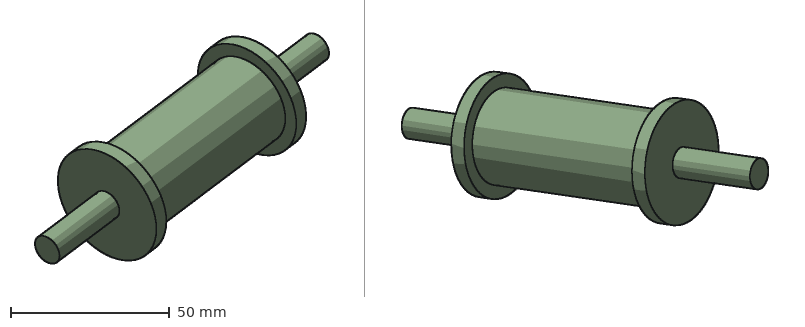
import cadquery as cq

total_length = 135.0
journal_length = 30.0
flange_thickness = 5.0
journal_diameter = 10.0
body_diameter = 31.0
flange_diameter = 40.0

flanged_length = total_length - 2 * journal_length
body_length = flanged_length - 2 * flange_thickness


def cylinder_along_y(diameter, start, length):
    """Solid cylinder on the Y axis, running from y = start towards +Y."""
    return cq.Workplane("XZ", origin=(0, start, 0)).circle(diameter / 2).extrude(-length)


shaft = cylinder_along_y(journal_diameter, -total_length / 2, total_length)

body = cylinder_along_y(body_diameter, -body_length / 2, body_length)

result = shaft.union(body)

for flange_start in (-flanged_length / 2, body_length / 2):
    result = result.union(cylinder_along_y(flange_diameter, flange_start, flange_thickness))